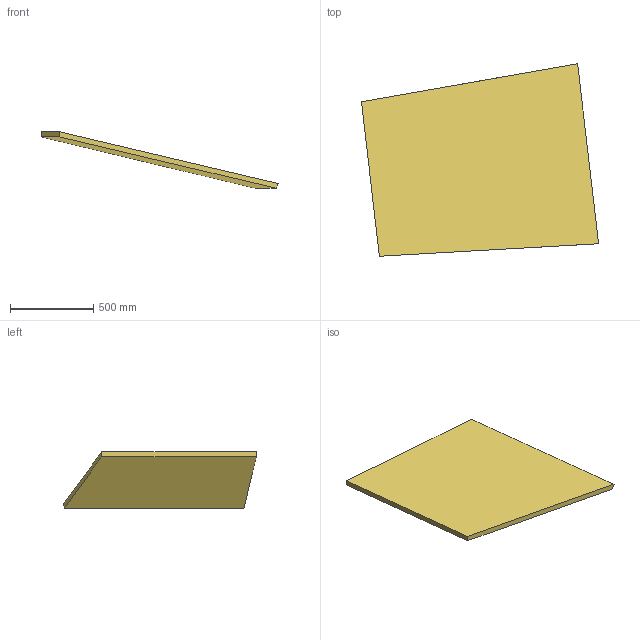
import cadquery as cq
import math

thickness = 30.0
slope_angle = 13.32
turn_angle = 6.65
overall_height = 338.33
run = 1312.83
high_edge_length = 931.57
side_flare = 77.0

gradient = math.tan(math.radians(slope_angle))
vertical_thickness = thickness / math.cos(math.radians(slope_angle))
low_edge_height = overall_height - run * gradient
low_edge_undercut = (vertical_thickness - low_edge_height) / gradient


def sloping_slab():
    """Slab with the plate's side profile, as wide as the low edge."""
    profile = [
        (0, overall_height),
        (run, low_edge_height),
        (run - low_edge_undercut, 0),
        (0, overall_height - vertical_thickness),
    ]
    low_edge_length = high_edge_length + 2 * side_flare
    return (
        cq.Workplane("XZ", origin=(0, -side_flare, 0))
        .polyline(profile)
        .close()
        .extrude(-low_edge_length)
    )


def plan_prism():
    """Upright prism whose flared sides trim the slab."""
    plan = [
        (0, 0),
        (run, -side_flare),
        (run, high_edge_length + side_flare),
        (0, high_edge_length),
    ]
    return cq.Workplane("XY").polyline(plan).close().extrude(overall_height)


plate = sloping_slab().intersect(plan_prism())
result = plate.rotate((0, 0, 0), (0, 0, 1), turn_angle)